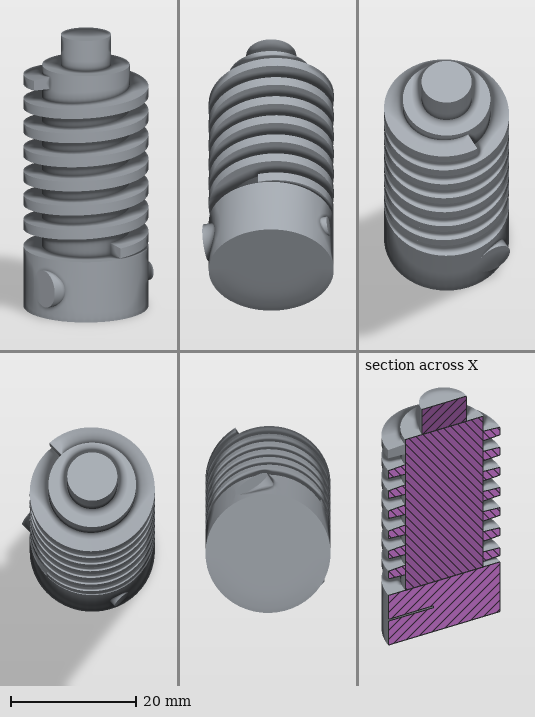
import cadquery as cq

total_height = 45.0
outer_diameter = 20.0
collar_height = 10.0
core_diameter = 14.0
core_top = 40.0
journal_diameter = 8.0

front_pin_diameter = 6.0
back_pin_diameter = 3.0
pin_offset_x = front_pin_diameter / 2
pin_height = collar_height / 2

core_length = core_top - collar_height
pitches_per_core = 7.5
thread_turns = 6.75
pitch = core_length / pitches_per_core
root_width = pitch / 2
tip_width = 1.6
thread_start_z = collar_height + root_width / 2

outer_radius = outer_diameter / 2
core_radius = core_diameter / 2


def cylinder(diameter, bottom, top):
    """Upright cylinder on the worm axis."""
    return cq.Workplane("XY").workplane(offset=bottom).circle(diameter / 2).extrude(top - bottom)


def make_pin(diameter, end_y):
    """Pin from the middle plane of the collar to a flat end at end_y."""
    return cq.Workplane("XZ").center(pin_offset_x, pin_height).circle(diameter / 2).extrude(-end_y)


def make_collar():
    """Collar with a hole for each pin."""
    return cylinder(outer_diameter, 0, collar_height).cut(front_pin).cut(back_pin).solids()


def make_thread():
    """Sweep the tapered rib section along a helix that starts on +X."""
    helix = cq.Wire.makeHelix(
        pitch, pitch * thread_turns, core_radius, center=cq.Vector(0, 0, thread_start_z)
    )
    section = cq.Workplane("XZ").polyline([
        (core_radius, thread_start_z - root_width / 2),
        (outer_radius, thread_start_z - tip_width / 2),
        (outer_radius, thread_start_z + tip_width / 2),
        (core_radius, thread_start_z + root_width / 2),
    ]).close()
    return section.sweep(cq.Workplane(helix), isFrenet=True)


front_pin = make_pin(front_pin_diameter, -outer_radius)
back_pin = make_pin(back_pin_diameter, outer_radius)
collar = make_collar()
core = cylinder(core_diameter, collar_height, core_top)
journal = cylinder(journal_diameter, core_top, total_height)
thread = make_thread()

result = cq.Compound.makeCompound([
    collar.val(),
    core.val(),
    journal.val(),
    thread.val(),
    front_pin.val(),
    back_pin.val(),
])